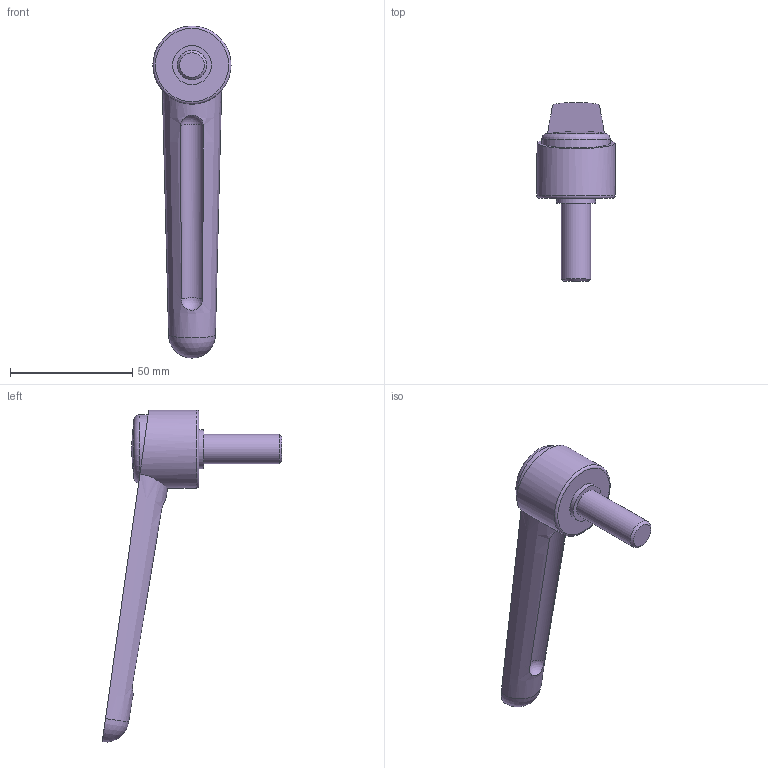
import cadquery as cq
import math


hub_radius = 16.0
hub_edge_fillet = 1.0
collar_radius = 8.0
collar_height = 2.0
screw_radius = 6.0
screw_length = 32.0
screw_chamfer = 1.0

cap_radius = 14.0
cap_root_y = 16.0
cap_edge_y = 26.3
cap_top_y = 29.6
cap_edge_round = 2.3

tilt = 8.0
overall_height = 136.02
overall_depth = 73.5
lever_root_radius = 12.4
lever_end_radius = 9.6

groove_radius = 4.7
groove_top_z = -24.9
groove_bottom_z = -95.7

diagonal = math.sqrt(0.5)

tilt_sin = math.sin(math.radians(tilt))
tilt_cos = math.cos(math.radians(tilt))
tilt_tan = tilt_sin / tilt_cos

ball_z = hub_radius - overall_height + lever_end_radius
ball_y = overall_depth - screw_length - lever_end_radius * tilt_sin
back_plane_y = ball_y + ball_z * tilt_tan

lever_plane = cq.Plane(
    origin=(0, back_plane_y, 0),
    xDir=(1, 0, 0),
    normal=(0, -tilt_cos, -tilt_sin),
)
cone_length = -ball_z / tilt_cos


def cylinder(radius, start_y, end_y):
    """Cylinder on the screw axis between two Y positions."""
    return cq.Workplane("XZ", origin=(0, end_y, 0)).circle(radius).extrude(end_y - start_y)


def keep_in_front(body):
    """Remove what lies behind the sloping back plane."""
    half_size = 2 * overall_height
    size = 2 * half_size
    behind = (
        cq.Workplane("XY")
        .box(size, size, size)
        .translate((0, half_size, 0))
        .rotate((0, 0, 0), (1, 0, 0), tilt)
        .translate((0, back_plane_y, 0))
    )
    return body.cut(behind)


def make_hub():
    """Round hub with a rounded front edge, cut off along the sloping back plane."""
    hub = cylinder(hub_radius, collar_height, cap_edge_y).faces("<Y").edges().fillet(hub_edge_fillet)
    return keep_in_front(hub)


def make_screw():
    """Chamfered screw with its collar; both run a little into the hub."""
    buried_y = 2 * collar_height
    screw = cylinder(screw_radius, -screw_length, buried_y).faces("<Y").chamfer(screw_chamfer)
    return screw.union(cylinder(collar_radius, 0, buried_y))


def make_cap():
    """Revolved cap whose rounded edge runs smoothly into a shallow dome."""
    round_x = cap_radius - cap_edge_round
    rise = cap_top_y - cap_edge_y
    dome_radius = (round_x**2 + rise**2 - cap_edge_round**2) / (2 * (rise - cap_edge_round))
    dome_center_y = cap_top_y - dome_radius
    touch_angle = math.atan2(round_x, cap_edge_y - dome_center_y)

    def dome_point(angle):
        return dome_radius * math.sin(angle), dome_center_y + dome_radius * math.cos(angle)

    return (
        cq.Workplane("XY")
        .moveTo(0, cap_root_y)
        .lineTo(cap_radius, cap_root_y)
        .lineTo(cap_radius, cap_edge_y)
        .tangentArcPoint(dome_point(touch_angle), relative=False)
        .threePointArc(dome_point(touch_angle / 2), (0, cap_top_y))
        .close()
        .revolve(360, (0, 0, 0), (0, 1, 0))
    )


def make_lever():
    """Half cone with a ball end, turned through half a revolution from the sloping back plane."""
    ball_step = lever_end_radius * diagonal
    return (
        cq.Workplane(lever_plane)
        .lineTo(lever_root_radius, 0)
        .lineTo(lever_end_radius, -cone_length)
        .threePointArc((ball_step, -cone_length - ball_step), (0, -cone_length - lever_end_radius))
        .close()
        .revolve(180, (0, 0, 0), (0, -1, 0))
    )


def groove_end(z):
    """Centre of a groove end, level with the rims that the groove cuts into the cone."""
    distance = -z / tilt_cos
    cone_radius = lever_root_radius + (lever_end_radius - lever_root_radius) * distance / cone_length
    rim_height = math.sqrt(cone_radius**2 - groove_radius**2)
    return lever_plane.toWorldCoords((0, rim_height * tilt_tan - distance, rim_height))


def make_groove():
    """Straight groove with ball-shaped ends, revolved about its own axis."""
    top = groove_end(groove_top_z)
    axis = groove_end(groove_bottom_z) - top
    length = axis.Length
    ball_step = groove_radius * diagonal
    axis_plane = cq.Plane(origin=top, xDir=axis.cross(lever_plane.zDir), normal=lever_plane.zDir)
    return (
        cq.Workplane(axis_plane)
        .moveTo(0, -groove_radius)
        .threePointArc((ball_step, -ball_step), (groove_radius, 0))
        .lineTo(groove_radius, length)
        .threePointArc((ball_step, length + ball_step), (0, length + groove_radius))
        .close()
        .revolve(360, (0, 0, 0), (0, 1, 0))
    )


lever = make_lever().cut(make_groove())
result = make_hub().union(lever).union(make_cap()).union(make_screw())